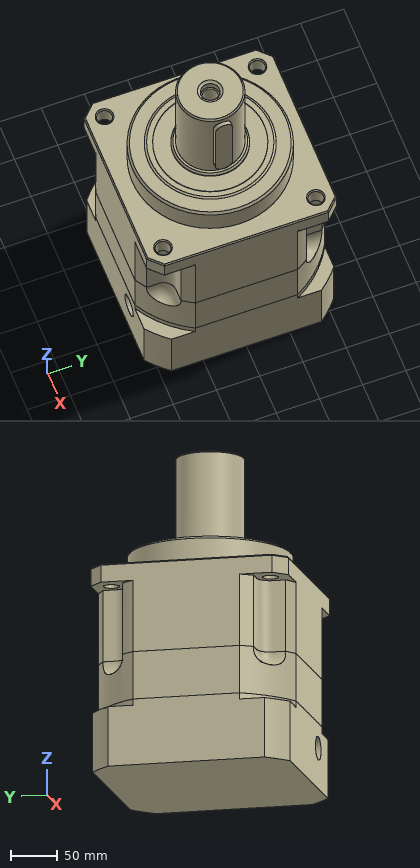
import cadquery as cq
import math


SQUARE = 220.0
HALF = SQUARE / 2
TOTAL_HEIGHT = 364.0

ADAPTER_TOP = 73.0
RING_TOP = 126.0
RELIEF_FLOOR = 66.2
FLANGE_BOTTOM = 205.3
FLANGE_TOP = 225.5
PILOT_TOP = 256.0
COVER_TOP = 257.0
SEAL_TOP = 256.3
COLLAR_TOP = 259.5

BODY_CORNER_RADIUS = 140.0
RELIEF_RADIUS = 125.0
FLANGE_CORNER_CUT = 15.0
FLANGE_EDGE_CHAMFER = 1.5

POCKET_WALL = 72.8
POCKET_FLOOR = 108.0
POCKET_FILLET = 14.5

MOUNT_PITCH = 177.0
MOUNT_DIAMETER = 17.0
MOUNT_CHAMFER = 1.5
MOUNT_CHAMFER_ANGLE = 90.0

PILOT_RADIUS = 90.0
PILOT_CHAMFER = 2.5
COVER_RADIUS = 71.5
COVER_CHAMFER_WIDTH = 2.5
SEAL_RADIUS = 62.2
COLLAR_RADIUS = 42.5
COLLAR_CHAMFER = 2.2
SHAFT_RADIUS = 37.5
SHAFT_CHAMFER = 2.0

CENTRE_SINK_RADIUS = 14.0
CENTRE_SINK_DEPTH = 2.2
CENTRE_RECESS_RADIUS = 10.5
CENTRE_RECESS_DEPTH = 10.0
CENTRE_BORE_RADIUS = 8.7
CENTRE_BORE_DEPTH = 42.0
CENTRE_TIP_ANGLE = 120.0

KEY_WIDTH = 20.0
KEY_LENGTH = 90.0
KEY_BOTTOM = 266.8
KEY_OUTER = 42.0
KEY_INNER = 30.0

ACCESS_X = 42.0
ACCESS_Z = 45.0
ACCESS_DIAMETER = 25.5
ACCESS_DEPTH = 36.5
ACCESS_END_RADIUS = 37.5
ACCESS_END_X = 43.5


def cylinder(radius, bottom, top):
    return cq.Workplane("XY").workplane(offset=bottom).circle(radius).extrude(top - bottom)


def square_block(bottom, top):
    return cq.Workplane("XY").workplane(offset=bottom).rect(SQUARE, SQUARE).extrude(top - bottom)


def relieved_block(bottom, top):
    """Square block whose corners are turned down to the relief radius."""
    return square_block(bottom, top).intersect(cylinder(RELIEF_RADIUS, bottom, top))


def cut_screw_pockets(body):
    """Cut the four rounded screw pockets that open outward and up to the flange."""
    height = FLANGE_BOTTOM - POCKET_FLOOR
    pocket = (
        cq.Workplane("XY")
        .box(HALF, HALF, height, centered=False)
        .edges("(<X and <Y) or (<X and <Z) or (<Y and <Z)")
        .fillet(POCKET_FILLET)
        .translate((POCKET_WALL, POCKET_WALL, POCKET_FLOOR))
    )
    for angle in (0, 90, 180, 270):
        body = body.cut(pocket.rotate((0, 0, 0), (0, 0, 1), angle))
    return body


def make_adapter():
    foot = square_block(0, RELIEF_FLOOR).intersect(cylinder(BODY_CORNER_RADIUS, 0, RELIEF_FLOOR))
    adapter = foot.union(relieved_block(RELIEF_FLOOR, ADAPTER_TOP))
    access_hole = (
        cq.Workplane("XZ", origin=(ACCESS_X, -HALF, ACCESS_Z))
        .circle(ACCESS_DIAMETER / 2)
        .extrude(-ACCESS_DEPTH)
    )
    end_axis_y = -HALF + ACCESS_DEPTH - ACCESS_END_RADIUS
    hole_end = cylinder(ACCESS_END_RADIUS, 0, ADAPTER_TOP).translate((ACCESS_END_X, end_axis_y, 0))
    return adapter.cut(access_hole.intersect(hole_end))


def make_ring_gear():
    return cut_screw_pockets(relieved_block(ADAPTER_TOP, RING_TOP))


def make_flange():
    flange = (
        square_block(FLANGE_BOTTOM, FLANGE_TOP)
        .edges("|Z")
        .chamfer(FLANGE_CORNER_CUT)
        .faces(">Z")
        .chamfer(FLANGE_EDGE_CHAMFER)
    )
    return (
        flange.faces(">Z")
        .workplane(origin=(0, 0, FLANGE_TOP))
        .rect(MOUNT_PITCH, MOUNT_PITCH, forConstruction=True)
        .vertices()
        .cskHole(MOUNT_DIAMETER, MOUNT_DIAMETER + 2 * MOUNT_CHAMFER, MOUNT_CHAMFER_ANGLE)
    )


def make_turned_end():
    """Pilot, bearing cover, seal face, collar and shaft as one revolved profile."""
    bore_bottom = TOTAL_HEIGHT - CENTRE_BORE_DEPTH
    tip = CENTRE_BORE_RADIUS / math.tan(math.radians(CENTRE_TIP_ANGLE / 2))
    profile = [
        (0, FLANGE_BOTTOM),
        (PILOT_RADIUS, FLANGE_BOTTOM),
        (PILOT_RADIUS, PILOT_TOP - PILOT_CHAMFER),
        (PILOT_RADIUS - PILOT_CHAMFER, PILOT_TOP),
        (COVER_RADIUS, PILOT_TOP),
        (COVER_RADIUS - COVER_CHAMFER_WIDTH, COVER_TOP),
        (SEAL_RADIUS, COVER_TOP),
        (SEAL_RADIUS, SEAL_TOP),
        (COLLAR_RADIUS, SEAL_TOP),
        (COLLAR_RADIUS, COLLAR_TOP - COLLAR_CHAMFER),
        (COLLAR_RADIUS - COLLAR_CHAMFER, COLLAR_TOP),
        (SHAFT_RADIUS, COLLAR_TOP),
        (SHAFT_RADIUS, TOTAL_HEIGHT - SHAFT_CHAMFER),
        (SHAFT_RADIUS - SHAFT_CHAMFER, TOTAL_HEIGHT),
        (CENTRE_SINK_RADIUS, TOTAL_HEIGHT),
        (CENTRE_RECESS_RADIUS, TOTAL_HEIGHT - CENTRE_SINK_DEPTH),
        (CENTRE_RECESS_RADIUS, TOTAL_HEIGHT - CENTRE_RECESS_DEPTH),
        (CENTRE_BORE_RADIUS, TOTAL_HEIGHT - CENTRE_RECESS_DEPTH),
        (CENTRE_BORE_RADIUS, bore_bottom),
        (0, bore_bottom - tip),
    ]
    return cq.Workplane("XZ").polyline(profile).close().revolve(360, (0, 0), (0, 1))


def make_key():
    return (
        cq.Workplane("YZ", origin=(KEY_INNER, 0, KEY_BOTTOM + KEY_LENGTH / 2))
        .slot2D(KEY_LENGTH, KEY_WIDTH, 90)
        .extrude(KEY_OUTER - KEY_INNER)
    )


def make_output_stage():
    """Output housing in one piece with its flange, shaft and key."""
    housing = cut_screw_pockets(relieved_block(RING_TOP, FLANGE_BOTTOM))
    return housing.union(make_flange()).union(make_turned_end()).union(make_key())


adapter = make_adapter().solids()
ring_gear = make_ring_gear().solids()
output_stage = make_output_stage().solids()

result = cq.Compound.makeCompound([adapter.val(), ring_gear.val(), output_stage.val()])